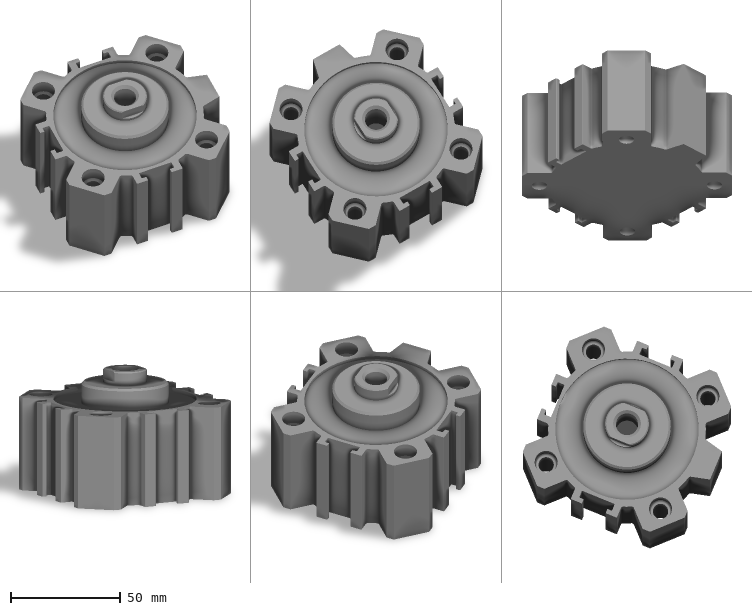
import cadquery as cq
import math

body_height = 43.0
tube_diameter = 72.0
tube_radius = tube_diameter / 2
corner_fillet = 1.1

lug_square = 80.0
lug_reach = 48.0
lug_width = 22.2
bolt_circle_diameter = 80.0
bolt_diameter = 7.0
counterbore_diameter = 10.5
counterbore_depth = 6.5

rail_reach = 39.75
rail_width = 22.8
slot_floor = 34.25
slot_width = 16.2
mouth_width = 11.7
lip_thickness = 2.15
rail_edge_radius = 0.25

rib_reach = 44.0
rib_top_width = 14.2
rib_base_width = 18.8
rib_base_y = 34.7

recess_diameter = 65.5
recess_depth = 1.75
boss_diameter = 40.0
boss_top = 51.0
boss_chamfer = 1.0

rod_diameter = 20.0
rod_top = 57.0
rod_engagement = 30.0
rod_bottom = rod_top - rod_engagement
rod_chamfer = 0.5
flat_width = 17.0
flat_height = 4.6
thread_diameter = 10.11
thread_depth = 20.0
thread_chamfer_diameter = 12.7


def make_lugs():
    """Four radial lugs as two crossing diagonal bars cut off by a square."""
    bars = cq.Workplane("XY")
    for angle in (45, 135):
        bar = cq.Workplane("XY").rect(2 * lug_reach, lug_width).extrude(body_height)
        bars = bars.union(bar.rotate((0, 0, 0), (0, 0, 1), angle))
    square = cq.Workplane("XY").rect(lug_square, lug_square).extrude(body_height)
    return bars.intersect(square)


def make_rail_block():
    """Solid block for one rail, pointing to +X."""
    return (
        cq.Workplane("XY")
        .rect(rail_reach, rail_width)
        .extrude(body_height)
        .translate((rail_reach / 2, 0, 0))
        .edges("|Z and >X")
        .fillet(rail_edge_radius)
    )


def make_rail_slot():
    """T-shaped slot of one rail, opening to +X, with its mouth edges rounded."""
    lip_inside = rail_reach - lip_thickness
    half_slot = slot_width / 2
    half_mouth = mouth_width / 2
    half_flare = half_mouth + rail_edge_radius
    flare_start = rail_reach - rail_edge_radius
    undercut = (
        cq.Workplane("XY")
        .rect(lip_inside - slot_floor, slot_width)
        .extrude(body_height)
        .translate(((lip_inside + slot_floor) / 2, 0, 0))
    )
    mouth = (
        cq.Workplane("XY")
        .moveTo(slot_floor, -half_mouth)
        .lineTo(flare_start, -half_mouth)
        .radiusArc((rail_reach, -half_flare), rail_edge_radius)
        .lineTo(rail_reach, half_flare)
        .radiusArc((flare_start, half_mouth), rail_edge_radius)
        .lineTo(slot_floor, half_mouth)
        .close()
        .extrude(body_height)
    )

    def is_undercut_corner(edge):
        """True for the corners of the undercut and the inner corners of the lips."""
        center = edge.Center()
        at_mouth = math.isclose(abs(center.y), half_mouth, abs_tol=0.01)
        at_lip_inside = math.isclose(center.x, lip_inside, abs_tol=0.01)
        at_slot_side = math.isclose(abs(center.y), half_slot, abs_tol=0.01)
        return at_slot_side or (at_mouth and at_lip_inside)

    return undercut.union(mouth).clean().edges("|Z").filter(is_undercut_corner).fillet(rail_edge_radius)


def make_rib():
    """Rib on +Y that narrows outward, its sides carried on into the tube."""
    side_slope = (rib_base_width - rib_top_width) / 2 / (rib_reach - rib_base_y)
    half_top = rib_top_width / 2
    half_root = half_top + side_slope * rib_reach
    outline = [(-half_root, 0), (half_root, 0), (half_top, rib_reach), (-half_top, rib_reach)]
    return cq.Workplane("XY").polyline(outline).close().extrude(body_height)


def on_tube_surface(edge):
    """True for a vertical edge where a lug, rail or rib meets the round tube."""
    center = edge.Center()
    return math.isclose(math.hypot(center.x, center.y), tube_radius, abs_tol=0.01)


def make_housing():
    profile = cq.Workplane("XY").circle(tube_radius).extrude(body_height)
    profile = profile.union(make_lugs()).union(make_rib())
    rail_angles = (0, 180, 270)
    for angle in rail_angles:
        profile = profile.union(make_rail_block().rotate((0, 0, 0), (0, 0, 1), angle))
    profile = profile.edges("|Z").filter(on_tube_surface).fillet(corner_fillet)
    for angle in rail_angles:
        profile = profile.cut(make_rail_slot().rotate((0, 0, 0), (0, 0, 1), angle))

    recess_floor = body_height - recess_depth
    recess = (
        cq.Workplane("XY", origin=(0, 0, recess_floor))
        .circle(recess_diameter / 2)
        .extrude(recess_depth)
    )
    boss = (
        cq.Workplane("XY", origin=(0, 0, recess_floor))
        .circle(boss_diameter / 2)
        .extrude(boss_top - recess_floor)
        .faces(">Z")
        .chamfer(boss_chamfer)
    )
    rod_bore = (
        cq.Workplane("XY", origin=(0, 0, rod_bottom))
        .circle(rod_diameter / 2)
        .extrude(boss_top - rod_bottom)
    )
    bolt_holes = (
        cq.Workplane("XY", origin=(0, 0, body_height))
        .polarArray(bolt_circle_diameter / 2, 45, 360, 4)
        .circle(bolt_diameter / 2)
        .extrude(-body_height)
    )
    counterbores = (
        cq.Workplane("XY", origin=(0, 0, body_height))
        .polarArray(bolt_circle_diameter / 2, 45, 360, 4)
        .circle(counterbore_diameter / 2)
        .extrude(-counterbore_depth)
    )
    return profile.cut(recess).union(boss).cut(rod_bore).cut(bolt_holes).cut(counterbores)


def make_rod():
    rod = (
        cq.Workplane("XY", origin=(0, 0, rod_bottom))
        .circle(rod_diameter / 2)
        .extrude(rod_engagement)
        .faces(">Z")
        .chamfer(rod_chamfer)
    )
    flat_depth = (rod_diameter - flat_width) / 2
    for side in (-1, 1):
        flat_center = (side * (flat_width + flat_depth) / 2, 0, rod_top - flat_height / 2)
        rod = rod.cut(cq.Workplane("XY").box(flat_depth, rod_diameter, flat_height).translate(flat_center))
    thread_radius = thread_diameter / 2
    lead_radius = thread_chamfer_diameter / 2
    thread_bottom = rod_top - thread_depth
    lead_bottom = rod_top - (lead_radius - thread_radius)
    hole_half_section = [
        (0, thread_bottom),
        (thread_radius, thread_bottom),
        (thread_radius, lead_bottom),
        (lead_radius, rod_top),
        (0, rod_top),
    ]
    thread_hole = cq.Workplane("XZ").polyline(hole_half_section).close().revolve(360, (0, 0), (0, 1))
    return rod.cut(thread_hole)


housing = make_housing()
rod = make_rod()
result = cq.Compound.makeCompound([housing.val(), rod.val()])